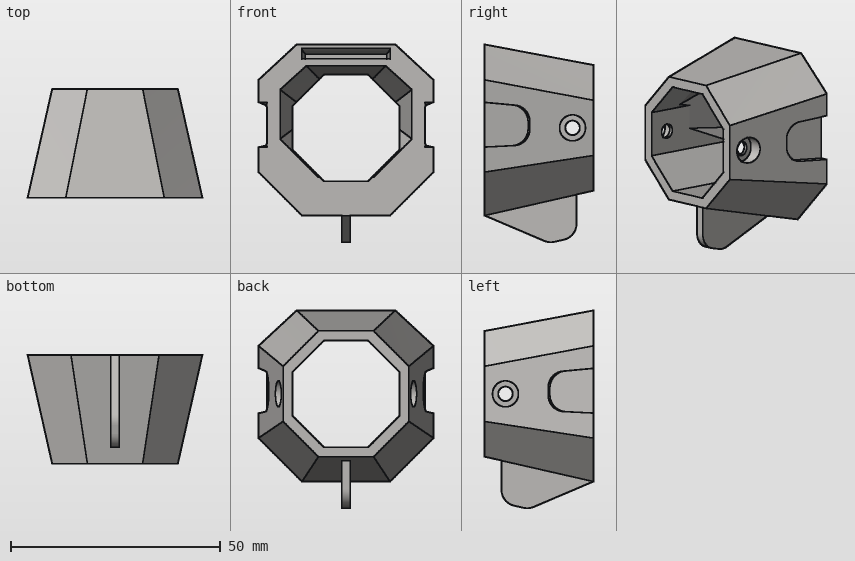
import cadquery as cq
import math

length = 26.0

front_half_width = 20.87
front_top = 19.92
front_bottom = -20.92
front_top_corner_x = 11.75
front_upper_corner_z = 11.45
front_lower_corner_z = -10.55
front_bottom_corner_x = 10.5
rear_half_width = 15.0
rear_corner = 6.58

bore_half_width = 12.7
bore_corner = bore_half_width * math.tan(math.pi / 8)

cavity_front_half_width = 15.72
cavity_front_top = 14.8
cavity_front_top_corner_x = 9.45
cavity_front_upper_corner_z = 9.1
cavity_front_lower_corner_z = -2.65
cavity_front_bottom_corner_x = 6.55
cavity_rear_half_width = 10.0
cavity_rear_corner = 4.75
cavity_rear_lower_corner_z = 1.7
cavity_rear_bottom_corner_x = 4.2

slot_half_width = 10.6
slot_top = 19.0
slot_floor = 16.45
slot_lip_depth = 1.5
slot_lip_top = 18.4
slot_depth = 5.5
slot_rear_top = 17.6
slot_rear_half_width = 9.7
slot_floor_drop = 0.9

recess_depth = 1.95
recess_length = 11.1
recess_front_top = 6.1
recess_front_bottom = -4.6
recess_rear_top = 5.1
recess_rear_bottom = -4.05
recess_radius = 4.0

hole_y = 21.0
hole_diameter = 3.4
counterbore_diameter = 6.2
counterbore_floor_x = 13.6

fin_thickness = 2.1
fin_rear_y = 22.0
fin_low_y = 15.45
fin_low_z = -27.49
fin_rear_z = -26.0
fin_rear_radius = 4.0
fin_low_radius = 4.0

clearance = 1.0


def octagon(half_width, top, bottom, top_x, upper_z, lower_z, bottom_x):
    """(x, z) corners of an octagon that is symmetric about x = 0."""
    right_side = [(bottom_x, bottom), (half_width, lower_z), (half_width, upper_z), (top_x, top)]
    left_side = [(-x, z) for x, z in reversed(right_side)]
    return right_side + left_side


def even_octagon(half_width, corner):
    """Octagon with the same half width and corner position on all four sides."""
    return octagon(half_width, half_width, -half_width, corner, corner, -corner, corner)


def outline_at(y, corners):
    """Closed wire through (x, z) corners in the plane at the given y."""
    return cq.Wire.makePolygon([cq.Vector(x, y, z) for x, z in corners], close=True)


def tapered_body(front_y, front_corners, rear_y, rear_corners):
    """Ruled solid between two outlines at different y."""
    wires = [outline_at(front_y, front_corners), outline_at(rear_y, rear_corners)]
    return cq.Workplane(cq.Solid.makeLoft(wires, True))


def make_shell():
    front = octagon(
        front_half_width,
        front_top,
        front_bottom,
        front_top_corner_x,
        front_upper_corner_z,
        front_lower_corner_z,
        front_bottom_corner_x,
    )
    return tapered_body(0, front, length, even_octagon(rear_half_width, rear_corner))


def make_bore():
    corners = even_octagon(bore_half_width, bore_corner)
    return tapered_body(-clearance, corners, length + clearance, corners)


def make_cavity():
    front_bottom_z = cavity_front_lower_corner_z - (cavity_front_half_width - cavity_front_bottom_corner_x)
    rear_bottom_z = cavity_rear_lower_corner_z - (cavity_rear_half_width - cavity_rear_bottom_corner_x)
    front = octagon(
        cavity_front_half_width,
        cavity_front_top,
        front_bottom_z,
        cavity_front_top_corner_x,
        cavity_front_upper_corner_z,
        cavity_front_lower_corner_z,
        cavity_front_bottom_corner_x,
    )
    rear = octagon(
        cavity_rear_half_width,
        cavity_rear_half_width,
        rear_bottom_z,
        cavity_rear_corner,
        cavity_rear_corner,
        cavity_rear_lower_corner_z,
        cavity_rear_bottom_corner_x,
    )
    return tapered_body(0, front, length, rear)


def slot_section(half_width, floor, top):
    return [(-half_width, floor), (half_width, floor), (half_width, top), (-half_width, top)]


def make_slot():
    """Pocket that narrows inwards; its roof falls steeply behind the lip and then gently."""
    lip_fraction = slot_lip_depth / slot_depth
    lip_half_width = slot_half_width + lip_fraction * (slot_rear_half_width - slot_half_width)
    lip_floor = slot_floor - lip_fraction * slot_floor_drop
    mouth = slot_section(slot_half_width, slot_floor, slot_top)
    lip = slot_section(lip_half_width, lip_floor, slot_lip_top)
    rear = slot_section(slot_rear_half_width, slot_floor - slot_floor_drop, slot_rear_top)
    outer = tapered_body(0, mouth, slot_lip_depth, lip)
    inner = tapered_body(slot_lip_depth, lip, slot_depth, rear)
    return outer.union(inner)


def make_left_recess():
    """U-shaped cutter, set in the slanted left wall; local x runs forwards along the wall."""
    taper = front_half_width - rear_half_width
    wall = cq.Plane(
        origin=(-front_half_width, 0, 0),
        xDir=(-taper, -length, 0),
        normal=(-length, taper, 0),
    )
    top_slope = (recess_front_top - recess_rear_top) / recess_length
    bottom_slope = (recess_front_bottom - recess_rear_bottom) / recess_length
    outline = [
        (-recess_length, recess_rear_bottom),
        (clearance, recess_front_bottom + clearance * bottom_slope),
        (clearance, recess_front_top + clearance * top_slope),
        (-recess_length, recess_rear_top),
    ]
    cutter = cq.Workplane(wall).workplane(offset=-recess_depth)
    cutter = cutter.polyline(outline).close().extrude(recess_depth + clearance)
    corner_edges = cutter.edges(cq.selectors.ParallelDirSelector(wall.zDir))
    return corner_edges.edges(">Y").fillet(recess_radius)


def make_cross_hole():
    axis_start = cq.Workplane("YZ").center(hole_y, 0)
    hole = axis_start.circle(hole_diameter / 2).extrude(front_half_width, both=True)
    for side in (-1, 1):
        seat = axis_start.workplane(offset=side * counterbore_floor_x)
        seat = seat.circle(counterbore_diameter / 2).extrude(side * front_half_width)
        hole = hole.union(seat)
    return hole


def make_fin():
    fin_root_z = -bore_half_width - clearance
    outline = [
        (0, fin_root_z),
        (0, front_bottom),
        (fin_low_y, fin_low_z),
        (fin_rear_y, fin_rear_z),
        (fin_rear_y, fin_root_z),
    ]
    fin = cq.Workplane("YZ").polyline(outline).close().extrude(fin_thickness / 2, both=True)
    rear_edge = fin.edges("|X").edges(cq.selectors.NearestToPointSelector((0, fin_rear_y, fin_rear_z)))
    fin = rear_edge.fillet(fin_rear_radius)
    low_edge = fin.edges("|X").edges(cq.selectors.NearestToPointSelector((0, fin_low_y, fin_low_z)))
    return low_edge.fillet(fin_low_radius)


left_recess = make_left_recess()
right_recess = left_recess.mirror("YZ")

result = make_shell().union(make_fin())
for cutter in (make_bore(), make_cavity(), make_slot(), left_recess, right_recess, make_cross_hole()):
    result = result.cut(cutter)